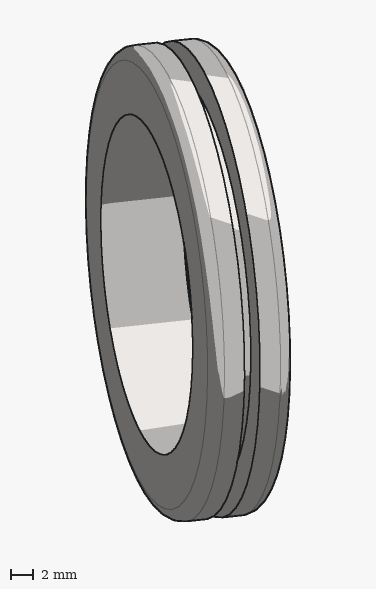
import cadquery as cq

outer_diameter = 42.0
bore_diameter = 30.0
width = 7.5
edge_radius = 1.2
groove_width = 1.4
groove_floor_diameter = 36.0


def hoop(outside, inside, thickness):
    """Rectangular-section ring about the Y axis, centred on the XZ plane."""
    wall = (outside - inside) / 2
    mean_radius = (outside + inside) / 4
    section = cq.Workplane("YZ").center(0, mean_radius).rect(thickness, wall)
    return section.revolve(360, (0, -mean_radius), (1, -mean_radius))


def rounded_ring():
    """Ring with both outer rims rounded and a sharp-edged bore."""
    ring = hoop(outer_diameter, bore_diameter, width)
    outer_rims = ring.edges("%CIRCLE").edges(cq.selectors.RadiusNthSelector(-1))
    return outer_rims.fillet(edge_radius)


def groove():
    """Rectangular-section groove around the middle of the rim."""
    return hoop(outer_diameter, groove_floor_diameter, groove_width)


result = rounded_ring().cut(groove())